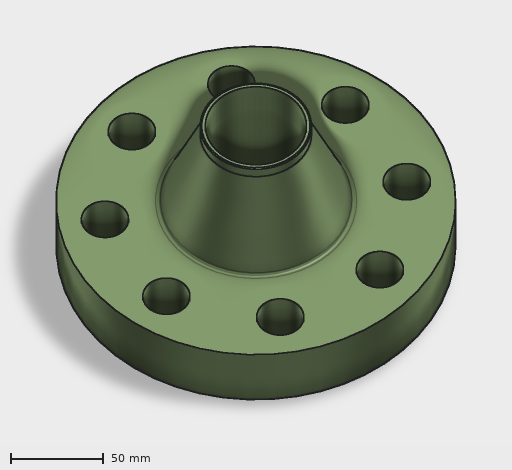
import cadquery as cq

flange_diameter = 215.8
flange_thickness = 38.2

face_diameter = 92.0
face_height = 6.3

total_height = 108.0
hub_diameter = 105.0
hub_fillet = 2.8
neck_diameter = 60.2
neck_length = 6.7
rim_bevel_width = 0.9
rim_bevel_height = 0.5
bore_diameter = 54.5

bolt_hole_count = 8
bolt_hole_diameter = 25.5
bolt_circle_diameter = 165.1

flange_bottom = face_height
flange_top = flange_bottom + flange_thickness
neck_bottom = total_height - neck_length


def revolved_body():
    """Raised face, flange, tapered hub and bevelled neck turned about Z as one solid."""
    profile = (
        cq.Workplane("XZ")
        .moveTo(0, 0)
        .lineTo(face_diameter / 2, 0)
        .lineTo(face_diameter / 2, flange_bottom)
        .lineTo(flange_diameter / 2, flange_bottom)
        .lineTo(flange_diameter / 2, flange_top)
        .lineTo(hub_diameter / 2, flange_top)
        .lineTo(neck_diameter / 2, neck_bottom)
        .lineTo(neck_diameter / 2, total_height - rim_bevel_height)
        .lineTo(neck_diameter / 2 - rim_bevel_width, total_height)
        .lineTo(0, total_height)
        .close()
    )
    return profile.revolve(360, (0, 0, 0), (0, 1, 0))


def fillet_hub_root(body):
    """Round the inside corner where the hub meets the top of the flange."""
    reach = hub_diameter / 2 + hub_fillet
    root_edge = cq.selectors.BoxSelector(
        (-reach, -reach, flange_top - hub_fillet / 2),
        (reach, reach, flange_top + hub_fillet / 2),
        boundingbox=True,
    )
    return body.edges(root_edge).fillet(hub_fillet)


def bore_cutter():
    """Straight bore through the full height."""
    return cq.Workplane("XY").circle(bore_diameter / 2).extrude(total_height)


def bolt_hole_cutter():
    """Evenly spaced through holes on the bolt circle, the first on +X."""
    return (
        cq.Workplane("XY", origin=(0, 0, flange_bottom))
        .polarArray(bolt_circle_diameter / 2, 0, 360, bolt_hole_count)
        .circle(bolt_hole_diameter / 2)
        .extrude(flange_thickness)
    )


result = fillet_hub_root(revolved_body()).cut(bore_cutter()).cut(bolt_hole_cutter())